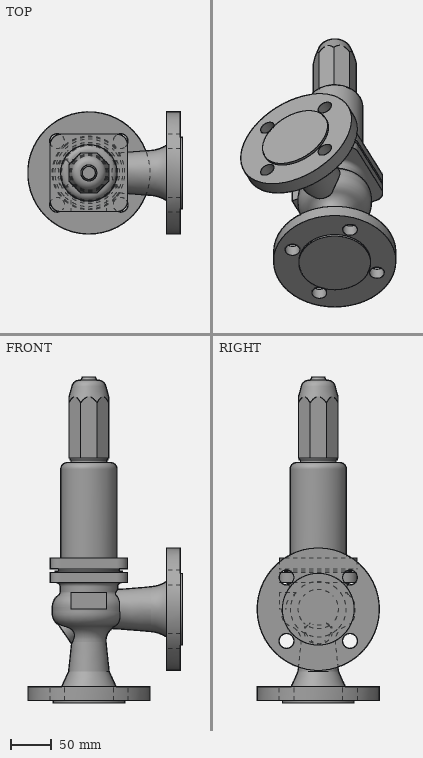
import cadquery as cq
import math

flange_radius = 75.0
raised_face_radius = 44.0
raised_face_height = 3.0
flange_back = 20.0
bolt_circle_radius = 55.0
bolt_hole_diameter = 18.0
bolt_count = 4

outlet_reach = 115.0
outlet_height = 115.0
branch_root_radius = 21.6
branch_hub_radius = 27.7
branch_flare_radius = 34.0
branch_hub_length = 38.5

neck_hub_radius = 33.5
neck_flare_radius = 25.0
neck_flare_height = 38.5
neck_radius = 21.2
neck_arc_radius = 21.5

belly_radius = 45.0
belly_low_height = 112.0
belly_high_height = 117.6
belly_low_arc = 20.0
belly_high_arc = 18.0
collar_radius = 35.4
collar_arc_radius = 4.5
collar_fillet = 5.0

plate_side = 95.0
plate_corner_radius = 13.0
lower_plate_bottom = 147.5
lower_plate_top = 160.0
gasket_radius = 41.5
gasket_thickness = 1.5
spigot_radius = 37.5
upper_plate_bottom = 164.5
upper_plate_top = 178.0

bonnet_radius = 34.6
bonnet_top = 294.8
bonnet_fillet = 8.2

cap_neck_radius = 22.0
cap_collar_radius = 23.4
cap_collar_bottom = 297.8
cap_bottom = 300.0
cap_across_flats = 48.8
cap_sides = 8
cap_taper_start = 367.8
cap_round_start = 388.4
cap_round_start_radius = 20.8
cap_round_end_radius = 11.3
cap_shoulder = 395.7
cap_tip_base_radius = 9.8
cap_tip_radius = 7.9
overall_height = 399.7

drain_radius = 17.0
drain_face_x = -30.8
drain_face_z = 86.4
drain_slope = 34.5

pad_width = 43.5
pad_bottom = 115.0
pad_top = 135.7
pad_face = 47.5


def disc(radius, bottom, top):
    """Upright round disc on the body axis."""
    return cq.Workplane("XY").workplane(offset=bottom).circle(radius).extrude(top - bottom)


def flange():
    """Flange standing on its sealing face at Z = 0, with its bolt holes."""
    raised_face = disc(raised_face_radius, 0, raised_face_height)
    plate = disc(flange_radius, raised_face_height, flange_back)
    holes = (
        cq.Workplane("XY")
        .polarArray(bolt_circle_radius, 180 / bolt_count, 360, bolt_count)
        .circle(bolt_hole_diameter / 2)
        .extrude(flange_back)
    )
    return plate.union(raised_face).cut(holes)


def blend_center(arc_x, arc_z, arc_radius, wall_radius, blend_radius, side):
    """Center of a hollow arc touching an upright wall and a round arc, and the touching point.

    side is +1 when the hollow lies above the round arc and -1 when it lies below.
    """
    reach = arc_radius + blend_radius
    dx = wall_radius + blend_radius - arc_x
    dz = side * math.sqrt(reach**2 - dx**2)
    share = arc_radius / reach
    return arc_z + dz, (arc_x + share * dx, arc_z + share * dz)


def body():
    """Revolved body, from inside the inlet flange up to the lower plate."""
    neck_top, neck_touch = blend_center(
        belly_radius - belly_low_arc, belly_low_height, belly_low_arc, neck_radius, neck_arc_radius, -1
    )
    collar_start, collar_touch = blend_center(
        belly_radius - belly_high_arc, belly_high_height, belly_high_arc, collar_radius, collar_arc_radius, 1
    )
    profile = (
        cq.Workplane("XZ")
        .moveTo(0, raised_face_height)
        .lineTo(neck_hub_radius, raised_face_height)
        .lineTo(neck_hub_radius, flange_back)
        .lineTo(neck_flare_radius, neck_flare_height)
        .lineTo(neck_radius, neck_top)
        .tangentArcPoint(neck_touch, relative=False)
        .tangentArcPoint((belly_radius, belly_low_height), relative=False)
        .lineTo(belly_radius, belly_high_height)
        .tangentArcPoint(collar_touch, relative=False)
        .tangentArcPoint((collar_radius, collar_start), relative=False)
        .lineTo(collar_radius, lower_plate_bottom - collar_fillet)
        .tangentArcPoint((collar_radius + collar_fillet, lower_plate_bottom), relative=False)
        .lineTo(0, lower_plate_bottom)
        .close()
    )
    return profile.revolve(360, (0, 0, 0), (0, 1, 0))


def outlet():
    """Flared outlet branch with its flange."""
    flare_end = outlet_reach - flange_back
    flare_start = outlet_reach - branch_hub_length
    branch = (
        cq.Workplane("XY")
        .lineTo(0, branch_root_radius)
        .lineTo(flare_start, branch_hub_radius)
        .tangentArcPoint((flare_end, branch_flare_radius), relative=False)
        .lineTo(flare_end, 0)
        .close()
        .revolve(360, (0, 0, 0), (1, 0, 0))
    )
    end_flange = flange().rotate((0, 0, 0), (0, 1, 0), -90).translate((outlet_reach, 0, 0))
    return branch.union(end_flange).translate((0, 0, outlet_height))


def drain_boss():
    """Round boss with a flat sloping face, running up into the body axis."""
    slope = math.radians(drain_slope)
    inward = cq.Vector(math.cos(slope), 0, math.sin(slope))
    face_center = cq.Vector(drain_face_x, 0, drain_face_z)
    length = -drain_face_x / math.cos(slope)
    return cq.Workplane(cq.Solid.makeCylinder(drain_radius, length, face_center, inward))


def name_pad():
    """Flat pad for the name plate, running from the body axis to the -Y side."""
    return (
        cq.Workplane("XY")
        .workplane(offset=pad_bottom)
        .center(0, -pad_face / 2)
        .rect(pad_width, pad_face)
        .extrude(pad_top - pad_bottom)
    )


def square_plate(bottom, top):
    """Square plate with rounded corners."""
    return (
        cq.Workplane("XY")
        .workplane(offset=bottom)
        .rect(plate_side, plate_side)
        .extrude(top - bottom)
        .edges("|Z")
        .fillet(plate_corner_radius)
    )


def plates():
    """The two cover plates and what lies between them."""
    gasket_top = lower_plate_top + gasket_thickness
    return (
        square_plate(lower_plate_bottom, lower_plate_top)
        .union(disc(gasket_radius, lower_plate_top, gasket_top))
        .union(disc(spigot_radius, gasket_top, upper_plate_bottom))
        .union(square_plate(upper_plate_bottom, upper_plate_top))
    )


def bonnet():
    """Plain round housing with a rounded top edge."""
    return disc(bonnet_radius, upper_plate_top, bonnet_top).faces(">Z").edges().fillet(bonnet_fillet)


def cap():
    """Octagonal cap, trimmed by a revolved outline with a taper and a rounded top."""
    corner_radius = cap_across_flats / 2 / math.cos(math.pi / cap_sides)
    octagon = (
        cq.Workplane("XY")
        .workplane(offset=cap_bottom)
        .polygon(cap_sides, 2 * corner_radius)
        .extrude(overall_height - cap_bottom)
        .rotate((0, 0, 0), (0, 0, 1), 180 / cap_sides)
    )
    envelope = (
        cq.Workplane("XZ")
        .moveTo(0, cap_bottom)
        .lineTo(corner_radius, cap_bottom)
        .lineTo(corner_radius, cap_taper_start)
        .lineTo(cap_round_start_radius, cap_round_start)
        .tangentArcPoint((cap_round_end_radius, cap_shoulder), relative=False)
        .lineTo(cap_tip_base_radius, cap_shoulder)
        .lineTo(cap_tip_radius, overall_height)
        .lineTo(0, overall_height)
        .close()
        .revolve(360, (0, 0, 0), (0, 1, 0))
    )
    collar = disc(cap_collar_radius, cap_collar_bottom, cap_bottom)
    neck = disc(cap_neck_radius, bonnet_top, cap_collar_bottom)
    return octagon.intersect(envelope).union(collar).union(neck)


result = (
    body()
    .union(flange())
    .union(outlet())
    .union(drain_boss())
    .union(name_pad())
    .union(plates())
    .union(bonnet())
    .union(cap())
)